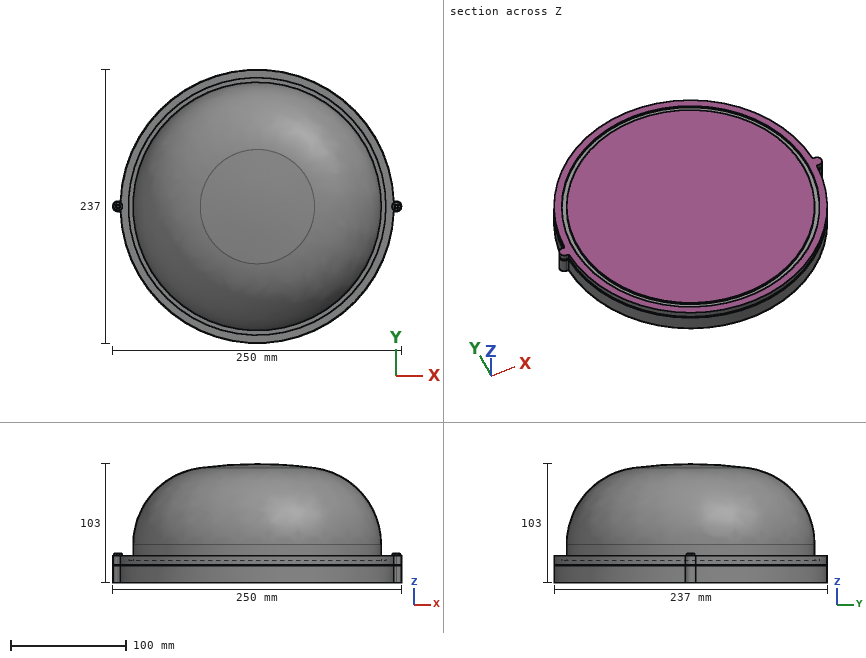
import cadquery as cq
import math

length = 250.0
height = 103.0

base_radius = 118.5
base_height = 23.5
groove_bottom = 14.8
groove_width = 1.0
groove_depth = 0.5

channel_radius = 111.5
channel_depth = 3.8

dome_radius = 107.5
dome_foot_top = 33.2
shoulder_radius = 67.0

lug_radius = 4.5
lug_center = length / 2 - lug_radius

head_radius = 3.8
head_height = 2.2
head_flat_radius = 1.8
recess_length = 4.0
recess_width = 1.5
recess_depth = 1.5


def make_base_layer(bottom, top, inset):
    """Disc with a round-ended lug on each side; inset pulls its whole outline inwards."""
    thickness = top - bottom
    plane = cq.Workplane("XY").workplane(offset=bottom)
    disc = plane.circle(base_radius - inset).extrude(thickness)
    lugs = plane.slot2D(length - 2 * inset, 2 * (lug_radius - inset)).extrude(thickness)
    return disc.union(lugs)


def make_base():
    groove_top = groove_bottom + groove_width
    lower_ring = make_base_layer(0, groove_bottom, 0)
    joint = make_base_layer(groove_bottom, groove_top, groove_depth)
    upper_ring = make_base_layer(groove_top, base_height, 0)
    channel = (
        cq.Workplane("XY")
        .workplane(offset=base_height - channel_depth)
        .circle(channel_radius)
        .extrude(channel_depth)
    )
    return lower_ring.union(joint).union(upper_ring).cut(channel)


def make_dome():
    shoulder_center = dome_radius - shoulder_radius
    rise = height - dome_foot_top
    crown_radius = (shoulder_center**2 + rise**2 - shoulder_radius**2) / (2 * (rise - shoulder_radius))
    crown_center = height - crown_radius
    crown_angle = math.asin(shoulder_center / (crown_radius - shoulder_radius))
    shoulder_mid_angle = (crown_angle + math.pi / 2) / 2

    def crown_point(angle):
        return (crown_radius * math.sin(angle), crown_center + crown_radius * math.cos(angle))

    shoulder_mid = (
        shoulder_center + shoulder_radius * math.sin(shoulder_mid_angle),
        dome_foot_top + shoulder_radius * math.cos(shoulder_mid_angle),
    )
    return (
        cq.Workplane("XZ")
        .lineTo(dome_radius, 0)
        .lineTo(dome_radius, dome_foot_top)
        .threePointArc(shoulder_mid, crown_point(crown_angle))
        .threePointArc(crown_point(crown_angle / 2), (0, height))
        .close()
        .revolve(360, (0, 0, 0), (0, 1, 0))
    )


def make_screw_head(x):
    head_top = base_height + head_height
    head = (
        cq.Workplane("XZ", origin=(x, 0, base_height))
        .lineTo(0, head_height)
        .lineTo(head_flat_radius, head_height)
        .tangentArcPoint((head_radius, 0), relative=False)
        .close()
        .revolve(360, (0, 0, 0), (0, 1, 0))
    )
    for angle in (45, 135):
        slot = (
            cq.Workplane("XY", origin=(x, 0, head_top - recess_depth))
            .transformed(rotate=(0, 0, angle))
            .rect(recess_length, recess_width)
            .extrude(recess_depth)
        )
        head = head.cut(slot)
    return head


result = make_base().union(make_dome())
for side in (-1, 1):
    result = result.union(make_screw_head(side * lug_center))